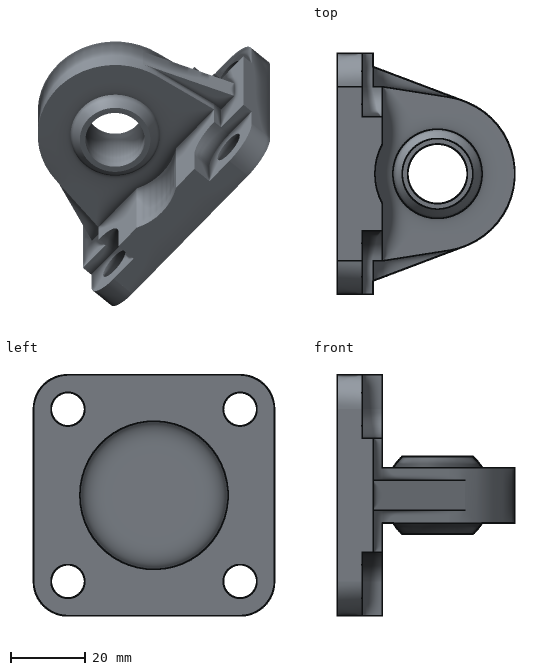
import cadquery as cq
import math

FLANGE_SIDE = 65.0
FLANGE_CORNER_RADIUS = 9.3
CORNER_THICKNESS = 6.7
SIDE_THICKNESS = 9.7
PAD_THICKNESS = 12.15
PAD_HALF_WIDTH = 23.45
BOLT_DIAMETER = 9.0
BOLT_OFFSET = FLANGE_SIDE / 2 - FLANGE_CORNER_RADIUS
BOLT_POCKET_RADIUS = 7.8
RECESS_DIAMETER = 40.0
RECESS_DEPTH = 7.0

OVERALL_LENGTH = 47.9
EYE_RADIUS = 20.85
EYE_X = OVERALL_LENGTH - EYE_RADIUS
LUG_THICKNESS = 14.95
RELIEF_RADIUS = 16.9
RIB_THICKNESS = 8.0
RIB_HALF_WIDTH = 28.85

BALL_DIAMETER = 28.35
BALL_HEIGHT = 21.0
BORE_DIAMETER = 16.0


def flange_block(width, thickness):
    """Block from X = 0 with the given Y width and the full flange height."""
    return cq.Workplane("XY").box(thickness, width, FLANGE_SIDE, centered=(False, True, True))


def tangent_point(start_x, start_y):
    """Point where a line from the start point touches the +Y side of the eye circle."""
    to_start_x = start_x - EYE_X
    distance = math.hypot(to_start_x, start_y)
    angle = math.atan2(start_y, to_start_x) - math.acos(EYE_RADIUS / distance)
    return EYE_X + EYE_RADIUS * math.cos(angle), EYE_RADIUS * math.sin(angle)


def eye_plate(start_x, start_half_width, thickness):
    """Plate tapering from a straight base into the round eye, centered on Z = 0."""
    touch_x, touch_y = tangent_point(start_x, start_half_width)
    return (
        cq.Workplane("XY")
        .moveTo(start_x, -start_half_width)
        .lineTo(touch_x, -touch_y)
        .threePointArc((OVERALL_LENGTH, 0), (touch_x, touch_y))
        .lineTo(start_x, start_half_width)
        .close()
        .extrude(thickness / 2, both=True)
    )


def bolt_pocket(y_sign, z_sign):
    """Corner clearance around one bolt, rounded about the bolt axis and open outward."""
    reach = FLANGE_SIDE / 2 - BOLT_OFFSET + BOLT_POCKET_RADIUS
    pocket_center = FLANGE_SIDE / 2 - reach / 2
    depth = PAD_THICKNESS - CORNER_THICKNESS
    pocket = cq.Workplane("XY").box(depth, reach, reach, centered=(False, True, True))
    inner_edge = f"{'<' if y_sign > 0 else '>'}Y and {'<' if z_sign > 0 else '>'}Z"
    pocket = pocket.edges("|X").edges(inner_edge).fillet(BOLT_POCKET_RADIUS)
    return pocket.translate((CORNER_THICKNESS, y_sign * pocket_center, z_sign * pocket_center))


def make_flange():
    flange = flange_block(FLANGE_SIDE, SIDE_THICKNESS)
    flange = flange.edges("|X").fillet(FLANGE_CORNER_RADIUS)
    flange = flange.union(flange_block(2 * PAD_HALF_WIDTH, PAD_THICKNESS))
    for y_sign in (-1, 1):
        for z_sign in (-1, 1):
            flange = flange.cut(bolt_pocket(y_sign, z_sign))
    bolt_holes = (
        cq.Workplane("YZ")
        .rect(2 * BOLT_OFFSET, 2 * BOLT_OFFSET, forConstruction=True)
        .vertices()
        .circle(BOLT_DIAMETER / 2)
        .extrude(PAD_THICKNESS)
    )
    recess = cq.Workplane("YZ").circle(RECESS_DIAMETER / 2).extrude(RECESS_DEPTH)
    relief = (
        cq.Workplane("XY")
        .center(EYE_X, 0)
        .circle(RELIEF_RADIUS)
        .extrude(FLANGE_SIDE / 2, both=True)
    )
    return flange.cut(bolt_holes).cut(recess).cut(relief)


def bearing_sphere():
    return cq.Workplane("XY").sphere(BALL_DIAMETER / 2).translate((EYE_X, 0, 0))


def make_housing():
    """Flange, lug and side ribs in one piece, with a spherical seat in the eye."""
    lug = eye_plate(PAD_THICKNESS, PAD_HALF_WIDTH, LUG_THICKNESS)
    root_length = PAD_THICKNESS - SIDE_THICKNESS
    lug_root = (
        cq.Workplane("XY")
        .box(root_length, 2 * PAD_HALF_WIDTH, LUG_THICKNESS, centered=(False, True, True))
        .translate((SIDE_THICKNESS, 0, 0))
    )
    ribs = eye_plate(SIDE_THICKNESS, RIB_HALF_WIDTH, RIB_THICKNESS)
    return make_flange().union(lug_root).union(lug).union(ribs).cut(bearing_sphere())


def make_ball():
    """Sphere truncated above and below the lug, with a through bore."""
    ring = (
        cq.Workplane("XY")
        .center(EYE_X, 0)
        .circle(BALL_DIAMETER / 2)
        .circle(BORE_DIAMETER / 2)
        .extrude(BALL_HEIGHT / 2, both=True)
    )
    return bearing_sphere().intersect(ring)


housing = make_housing()
ball = make_ball()
result = cq.Compound.makeCompound([*housing.solids().vals(), *ball.solids().vals()])